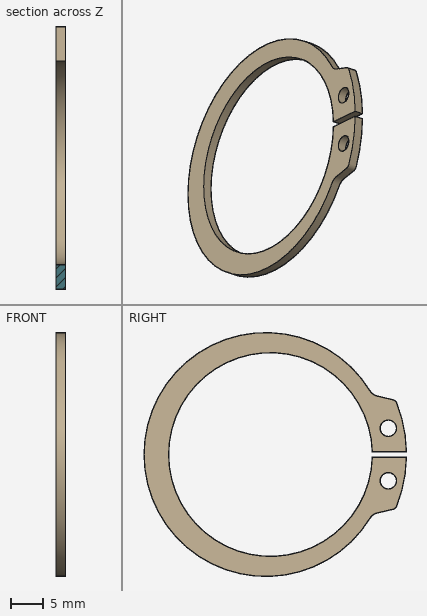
import cadquery as cq
import math

thickness = 1.5
bore_diameter = 31.6
rim_diameter = 37.91
rim_offset = 0.7
gap_width = 0.84

overall_length = 40.79
shoulder_height = 8.93
shoulder_reach = 18.0
shoulder_angle = 13.2
lug_corner_radius = 0.9
lug_root_radius = 1.8

plier_hole_diameter = 2.5
plier_hole_height = 4.08
plier_hole_reach = 19.0

rim_radius = rim_diameter / 2
rim_centre_y = -rim_offset
lug_end_radius = math.hypot(overall_length - rim_radius, gap_width / 2)


def disc(diameter, centre_y=0.0, centre_z=0.0):
    """Round plate of the ring's thickness, centred on X = 0."""
    sketch = cq.Workplane("YZ").center(centre_y, centre_z).circle(diameter / 2)
    return sketch.extrude(thickness / 2, both=True)


def shoulder_height_at(reach):
    """Height of the sloping lug shoulder at a distance along Y from the rim centre."""
    slope = math.tan(math.radians(shoulder_angle))
    return shoulder_height - slope * (reach - shoulder_reach)


def lug_block():
    """Both lugs in one piece, running inwards to the rim centre."""
    inner_height = shoulder_height_at(0)
    outer_height = shoulder_height_at(lug_end_radius)
    outer_y = rim_centre_y + lug_end_radius
    outline = [
        (rim_centre_y, inner_height),
        (outer_y, outer_height),
        (outer_y, -outer_height),
        (rim_centre_y, -inner_height),
    ]
    block = cq.Workplane("YZ").polyline(outline).close().extrude(thickness / 2, both=True)
    block = block.intersect(disc(2 * lug_end_radius, rim_centre_y))
    outer_corners = cq.selectors.BoxSelector(
        (-thickness, rim_centre_y + shoulder_reach, -rim_radius),
        (thickness, outer_y, rim_radius),
    )
    return block.edges("|X").edges(outer_corners).fillet(lug_corner_radius)


def blank():
    """Rim disc joined to the lugs, with the inner corners between them rounded."""
    plate = disc(rim_diameter, rim_centre_y).union(lug_block())
    roots = cq.selectors.BoxSelector(
        (-thickness, rim_centre_y + rim_radius / 2, -rim_radius),
        (thickness, rim_centre_y + shoulder_reach, rim_radius),
    )
    return plate.edges("|X").edges(roots).fillet(lug_root_radius)


def gap():
    """Slot that parts the two lugs, from the bore axis out past the lug tips."""
    slot = cq.Workplane("YZ").center(overall_length / 2, 0).rect(overall_length, gap_width)
    return slot.extrude(thickness / 2, both=True)


result = blank().cut(disc(bore_diameter)).cut(gap())
for side in (1, -1):
    hole = disc(plier_hole_diameter, rim_centre_y + plier_hole_reach, side * plier_hole_height)
    result = result.cut(hole)